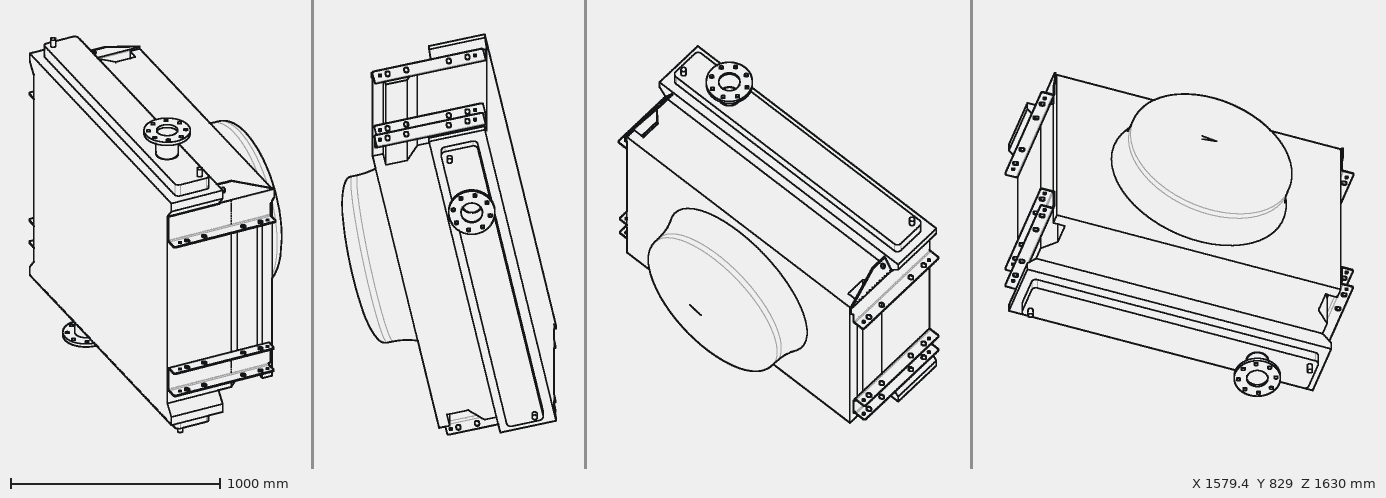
import cadquery as cq
import math

FRONT_Y = -414.0
DOME_TOP_Y = 415.0

CORE_HALF_WIDTH = 724.0
CORE_HALF_HEIGHT = 523.0
HEADER_HALF_WIDTH = 768.0
HEADER_FLARE_Z = 575.0
HEADER_HALF_HEIGHT = 621.0
HEADER_BACK_Y = -140.0

SHROUD_BACK_Y = 148.0
LIP_INSET = 7.0
GROOVE_DEPTH = 65.0
GROOVE_BACK_Y = 96.0
GROOVE_FLOOR_FRONT_Y = -8.0

COWL_RADIUS = 408.0
COWL_MOUTH_RADIUS = 442.0
COWL_FLARE_END_Y = 297.0
COWL_STRAIGHT_END_Y = 326.0
COWL_SHOULDER = (375.0, 368.0)
COWL_CROWN = (236.0, 403.0)

CAP_HALF_WIDTH = CORE_HALF_WIDTH
CAP_DEPTH = 180.0
CAP_TOP_Z = 683.0
CAP_CORNER_RADIUS = 21.0
CAP_Y = -275.0

PIPE_X = 440.0
PIPE_RADIUS = 54.0
BORE_RADIUS = 50.0
FLANGE_TOP_Z = 815.0
FLANGE_THICKNESS = 18.0
FLANGE_RADIUS = 111.0
BOLT_CIRCLE_RADIUS = 90.0
BOLT_HOLE_RADIUS = 9.0
BOLT_COUNT = 8

STUD_X = 688.0
STUD_OFFSET_Y = 52.0
STUD_RADIUS = 12.2
STUD_TOP_Z = 722.0

SHEET = 6.0
BEND_RADIUS = 5.0
BRACKET_HALF_SPAN = 789.7
WEB_OUTER_X = CORE_HALF_WIDTH + SHEET
BRACKET_FRONT_Y = -409.0
BRACKET_BACK_Y = 134.0
FLANGE_CORNER_RADIUS = 8.0

LOWER_BOTTOM_Z = -452.0
LOWER_TOP_Z = -321.0
LOWER_FLANGE_BACK_Y = 124.0
TONGUE_MARGIN = 13.0

UPPER_BOTTOM_Z = 381.0
UPPER_TAPER_Z = (450.0, 480.0)
UPPER_BACK_Y = 152.0

LUG_TOP_Z = 605.0
LUG_BEND_Z = 530.0
LUG_LEAN = 42.0
LUG_SLOPE_END_Y = -52.0
LUG_FRONT_Y = -137.0
LUG_HOLE_Y = -106.0
LUG_HOLE_Z = 577.0
LUG_HOLE_RADIUS = 10.6

HOLE_X = 763.0
HOLE_ROW_MID_Y = -132.0
PIN_HOLE_OFFSET = 233.0
PIN_HOLE_RADIUS = 7.0
SLOT_OFFSETS = (105.0, 195.0)
SLOT_LENGTH = 26.0
SLOT_WIDTH = 21.0


def front_outline(points, front_y, back_y):
    """Prism of an X-Z outline running from front_y back to back_y."""
    plane = cq.Workplane("XZ", origin=(0, front_y, 0))
    return plane.polyline(points).close().extrude(front_y - back_y)


def make_core():
    """Core box and both headers, which flare out from the core sides."""
    core = cq.Workplane("XY").box(
        2 * CORE_HALF_WIDTH, SHROUD_BACK_Y - FRONT_Y, 2 * CORE_HALF_HEIGHT,
        centered=(True, False, True),
    ).translate((0, FRONT_Y, 0))
    header_outline = [
        (-CORE_HALF_WIDTH, CORE_HALF_HEIGHT),
        (-HEADER_HALF_WIDTH, HEADER_FLARE_Z),
        (-HEADER_HALF_WIDTH, HEADER_HALF_HEIGHT),
        (HEADER_HALF_WIDTH, HEADER_HALF_HEIGHT),
        (HEADER_HALF_WIDTH, HEADER_FLARE_Z),
        (CORE_HALF_WIDTH, CORE_HALF_HEIGHT),
    ]
    header = front_outline(header_outline, FRONT_Y, HEADER_BACK_Y)
    return core.union(header).union(header.mirror("XY"))


def make_side_groove():
    """Groove along the left side of the shroud, bevelled at its front, with a set-back rear lip."""
    floor_x = -CORE_HALF_WIDTH + GROOVE_DEPTH
    return (
        cq.Workplane("XY", origin=(0, 0, -CORE_HALF_HEIGHT))
        .moveTo(-CORE_HALF_WIDTH, SHROUD_BACK_Y)
        .lineTo(-CORE_HALF_WIDTH + LIP_INSET, SHROUD_BACK_Y)
        .lineTo(-CORE_HALF_WIDTH + LIP_INSET, GROOVE_BACK_Y)
        .lineTo(floor_x, GROOVE_BACK_Y)
        .lineTo(floor_x, GROOVE_FLOOR_FRONT_Y)
        .lineTo(-CORE_HALF_WIDTH, GROOVE_FLOOR_FRONT_Y - GROOVE_DEPTH)
        .close()
        .extrude(2 * CORE_HALF_HEIGHT)
    )


def make_cowl():
    """Flared mouth, short cylinder, rounded shoulder and shallow dome."""
    dome_points = [COWL_CROWN, COWL_SHOULDER, (COWL_RADIUS, COWL_STRAIGHT_END_Y)]
    return (
        cq.Workplane("XY")
        .moveTo(0, DOME_TOP_Y)
        .spline(dome_points, tangents=[(1, 0), (0, -1)], includeCurrent=True)
        .lineTo(COWL_RADIUS, COWL_FLARE_END_Y)
        .tangentArcPoint((COWL_MOUTH_RADIUS, SHROUD_BACK_Y), relative=False)
        .lineTo(0, SHROUD_BACK_Y)
        .close()
        .revolve(360, (0, 0, 0), (0, 1, 0))
    )


def cylinder_up(x, y, radius, bottom_z, top_z):
    """Upright cylinder between two heights."""
    return cq.Workplane("XY", origin=(x, y, bottom_z)).circle(radius).extrude(top_z - bottom_z)


def make_top_fittings():
    """Cap, flanged pipe and vent studs that sit on the upper header."""
    cap = (
        cq.Workplane("XY", origin=(0, CAP_Y, HEADER_HALF_HEIGHT))
        .rect(2 * CAP_HALF_WIDTH, CAP_DEPTH)
        .extrude(CAP_TOP_Z - HEADER_HALF_HEIGHT)
        .edges("|Z")
        .fillet(CAP_CORNER_RADIUS)
    )
    pipe = cylinder_up(PIPE_X, CAP_Y, PIPE_RADIUS, CAP_TOP_Z, FLANGE_TOP_Z)
    flange = cylinder_up(PIPE_X, CAP_Y, FLANGE_RADIUS, FLANGE_TOP_Z - FLANGE_THICKNESS, FLANGE_TOP_Z)
    bolt_holes = (
        cq.Workplane("XY", origin=(PIPE_X, CAP_Y, FLANGE_TOP_Z - FLANGE_THICKNESS))
        .polarArray(BOLT_CIRCLE_RADIUS, 180 / BOLT_COUNT, 360, BOLT_COUNT)
        .circle(BOLT_HOLE_RADIUS)
        .extrude(FLANGE_THICKNESS)
    )
    bore = cylinder_up(PIPE_X, CAP_Y, BORE_RADIUS, CAP_TOP_Z, FLANGE_TOP_Z)
    fittings = cap.union(pipe).union(flange).cut(bolt_holes).cut(bore)
    for side in (-1, 1):
        stud = cylinder_up(side * STUD_X, CAP_Y + side * STUD_OFFSET_Y, STUD_RADIUS, CAP_TOP_Z, STUD_TOP_Z)
        fittings = fittings.union(stud)
    return fittings


def make_radiator():
    """Core, shroud, cowl and fittings; the bottom fittings are the top ones turned about Y."""
    groove = make_side_groove()
    top_fittings = make_top_fittings()
    bottom_fittings = top_fittings.rotate((0, 0, 0), (0, 1, 0), 180)
    radiator = make_core().cut(groove).cut(groove.mirror("YZ"))
    return radiator.union(make_cowl()).union(top_fittings).union(bottom_fittings)


def round_edge(sheet, x, z, radius):
    """Round the lengthwise edge of a sheet that runs through x and z."""
    middle = (x, (FRONT_Y + UPPER_BACK_Y) / 2, z)
    return sheet.edges(cq.selectors.NearestToPointSelector(middle)).fillet(radius)


def bracket_blank(section, bends, side_outline):
    """Left bracket: an X-Z sheet section with rounded bends, trimmed to a Y-Z outline.

    Each bend is the height of its outer corner, then that of its inner corner.
    """
    bent_sheet = front_outline(section, FRONT_Y, UPPER_BACK_Y)
    for outer_z, inner_z in bends:
        bent_sheet = round_edge(bent_sheet, -WEB_OUTER_X, inner_z, BEND_RADIUS)
        bent_sheet = round_edge(bent_sheet, -CORE_HALF_WIDTH, outer_z, BEND_RADIUS + SHEET)
    trim = cq.Workplane("YZ", origin=(-BRACKET_HALF_SPAN, 0, 0)).polyline(side_outline).close()
    return bent_sheet.intersect(trim.extrude(BRACKET_HALF_SPAN))


def finish_flanges(bracket, bottom_z, top_z):
    """Round the flange tips and cut the row of pin holes and slots through the flanges."""
    tips = cq.selectors.BoxSelector(
        (-BRACKET_HALF_SPAN - SHEET, FRONT_Y, bottom_z - SHEET),
        (-BRACKET_HALF_SPAN + SHEET, UPPER_BACK_Y, top_z + SHEET),
    )
    bracket = bracket.edges("|Z").edges(tips).fillet(FLANGE_CORNER_RADIUS)
    height = top_z - bottom_z
    hole_plane = cq.Plane(origin=(-HOLE_X, HOLE_ROW_MID_Y, bottom_z))
    for end in (-1, 1):
        pin_place = [(0, end * PIN_HOLE_OFFSET)]
        pin_hole = cq.Workplane(hole_plane).pushPoints(pin_place).circle(PIN_HOLE_RADIUS).extrude(height)
        slot_places = [(0, end * offset) for offset in SLOT_OFFSETS]
        slots = cq.Workplane(hole_plane).pushPoints(slot_places).slot2D(SLOT_LENGTH, SLOT_WIDTH).extrude(height)
        bracket = bracket.cut(pin_hole).cut(slots)
    return bracket


def make_lower_bracket():
    """Left channel with two flanges; the web ends in a short tongue past the flanges."""
    section = [
        (-CORE_HALF_WIDTH, LOWER_BOTTOM_Z),
        (-BRACKET_HALF_SPAN, LOWER_BOTTOM_Z),
        (-BRACKET_HALF_SPAN, LOWER_BOTTOM_Z + SHEET),
        (-WEB_OUTER_X, LOWER_BOTTOM_Z + SHEET),
        (-WEB_OUTER_X, LOWER_TOP_Z - SHEET),
        (-BRACKET_HALF_SPAN, LOWER_TOP_Z - SHEET),
        (-BRACKET_HALF_SPAN, LOWER_TOP_Z),
        (-CORE_HALF_WIDTH, LOWER_TOP_Z),
    ]
    side_outline = [
        (BRACKET_FRONT_Y, LOWER_BOTTOM_Z),
        (LOWER_FLANGE_BACK_Y, LOWER_BOTTOM_Z),
        (LOWER_FLANGE_BACK_Y, LOWER_BOTTOM_Z + TONGUE_MARGIN),
        (BRACKET_BACK_Y, LOWER_BOTTOM_Z + TONGUE_MARGIN),
        (BRACKET_BACK_Y, LOWER_TOP_Z - TONGUE_MARGIN),
        (LOWER_FLANGE_BACK_Y, LOWER_TOP_Z - TONGUE_MARGIN),
        (LOWER_FLANGE_BACK_Y, LOWER_TOP_Z),
        (BRACKET_FRONT_Y, LOWER_TOP_Z),
    ]
    bends = [(LOWER_BOTTOM_Z, LOWER_BOTTOM_Z + SHEET), (LOWER_TOP_Z, LOWER_TOP_Z - SHEET)]
    bracket = bracket_blank(section, bends, side_outline)
    return finish_flanges(bracket, LOWER_BOTTOM_Z, LOWER_TOP_Z)


def make_upper_bracket():
    """Left bracket with one bottom flange and a lifting lug bent inwards at the top."""
    lug_sheet_width = SHEET / math.cos(math.atan2(LUG_LEAN, LUG_TOP_Z - LUG_BEND_Z))
    section = [
        (-CORE_HALF_WIDTH, UPPER_BOTTOM_Z),
        (-BRACKET_HALF_SPAN, UPPER_BOTTOM_Z),
        (-BRACKET_HALF_SPAN, UPPER_BOTTOM_Z + SHEET),
        (-WEB_OUTER_X, UPPER_BOTTOM_Z + SHEET),
        (-WEB_OUTER_X, LUG_BEND_Z),
        (-WEB_OUTER_X + LUG_LEAN, LUG_TOP_Z),
        (-WEB_OUTER_X + LUG_LEAN + lug_sheet_width, LUG_TOP_Z),
        (-WEB_OUTER_X + lug_sheet_width, LUG_BEND_Z),
        (-CORE_HALF_WIDTH, CORE_HALF_HEIGHT),
    ]
    taper_bottom_z, taper_top_z = UPPER_TAPER_Z
    side_outline = [
        (BRACKET_FRONT_Y, UPPER_BOTTOM_Z),
        (BRACKET_BACK_Y, UPPER_BOTTOM_Z),
        (BRACKET_BACK_Y, taper_bottom_z),
        (UPPER_BACK_Y, taper_top_z),
        (UPPER_BACK_Y, LUG_BEND_Z),
        (LUG_SLOPE_END_Y, LUG_TOP_Z),
        (LUG_FRONT_Y, LUG_TOP_Z),
        (LUG_FRONT_Y, CORE_HALF_HEIGHT),
        (BRACKET_FRONT_Y, CORE_HALF_HEIGHT),
    ]
    lug_hole = (
        cq.Workplane("YZ", origin=(-CORE_HALF_WIDTH, LUG_HOLE_Y, LUG_HOLE_Z))
        .circle(LUG_HOLE_RADIUS)
        .extrude(CORE_HALF_WIDTH)
    )
    bends = [(UPPER_BOTTOM_Z, UPPER_BOTTOM_Z + SHEET)]
    bracket = bracket_blank(section, bends, side_outline).cut(lug_hole)
    return finish_flanges(bracket, UPPER_BOTTOM_Z, UPPER_BOTTOM_Z + SHEET)


def left_and_right(left_bracket):
    """The left bracket and its mirrored copy, as two separate solids."""
    return [left_bracket.val().Solids()[0], left_bracket.mirror("YZ").val().Solids()[0]]


radiator = make_radiator()
lower_brackets = left_and_right(make_lower_bracket())
upper_brackets = left_and_right(make_upper_bracket())

result = cq.Compound.makeCompound([radiator.val(), *lower_brackets, *upper_brackets])